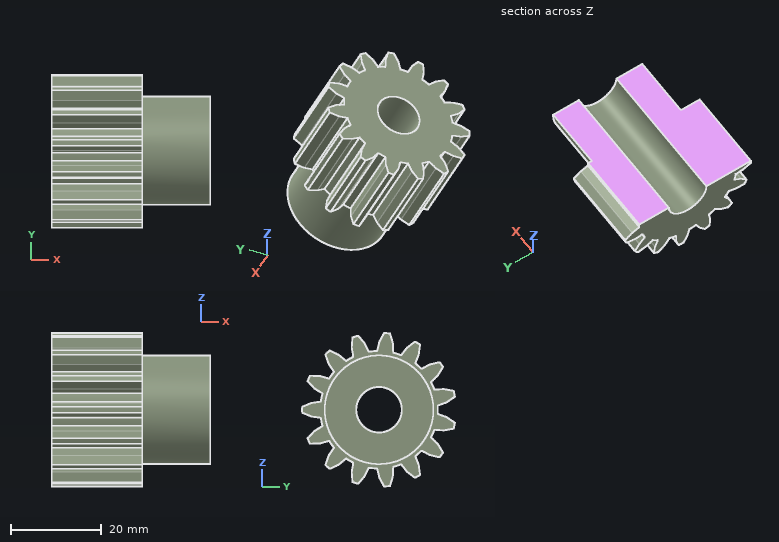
import cadquery as cq
import math

MODULE = 2.0
TOOTH_COUNT = 15
FACE_WIDTH = 20.0
PITCH_RADIUS = MODULE * TOOTH_COUNT / 2
TIP_RADIUS = PITCH_RADIUS + MODULE
ROOT_RADIUS = PITCH_RADIUS - MODULE
TOOTH_SPACING = 360.0 / TOOTH_COUNT

ROOT_HALF_ANGLE = TOOTH_SPACING / 3
PITCH_HALF_ANGLE = 5.82
TIP_HALF_ANGLE = 2.25

FIRST_TOOTH_ANGLE = 180.0

HUB_RADIUS = 12.0
HUB_LENGTH = 15.0
BORE_RADIUS = 5.0
TOTAL_LENGTH = FACE_WIDTH + HUB_LENGTH


def polar(radius, angle):
    """Point in the YZ plane at a radius and an angle in degrees from +Y."""
    radians = math.radians(angle)
    return (radius * math.cos(radians), radius * math.sin(radians))


def toothed_blank():
    """Gear body: two-facet flanks, with tips and root lands on circles."""
    outline = cq.Workplane("YZ").moveTo(*polar(ROOT_RADIUS, FIRST_TOOTH_ANGLE - ROOT_HALF_ANGLE))
    for tooth in range(TOOTH_COUNT):
        center = FIRST_TOOTH_ANGLE + tooth * TOOTH_SPACING
        land_middle = center + TOOTH_SPACING / 2
        next_tooth_start = center + TOOTH_SPACING - ROOT_HALF_ANGLE
        outline = (
            outline.lineTo(*polar(PITCH_RADIUS, center - PITCH_HALF_ANGLE))
            .lineTo(*polar(TIP_RADIUS, center - TIP_HALF_ANGLE))
            .threePointArc(polar(TIP_RADIUS, center), polar(TIP_RADIUS, center + TIP_HALF_ANGLE))
            .lineTo(*polar(PITCH_RADIUS, center + PITCH_HALF_ANGLE))
            .lineTo(*polar(ROOT_RADIUS, center + ROOT_HALF_ANGLE))
            .threePointArc(polar(ROOT_RADIUS, land_middle), polar(ROOT_RADIUS, next_tooth_start))
        )
    return outline.close().extrude(FACE_WIDTH)


def hub():
    """Plain cylinder on the +X face of the gear."""
    return cq.Workplane("YZ", origin=(FACE_WIDTH, 0, 0)).circle(HUB_RADIUS).extrude(HUB_LENGTH)


def bore():
    """Shaft hole through the gear and the hub."""
    return cq.Workplane("YZ").circle(BORE_RADIUS).extrude(TOTAL_LENGTH)


result = toothed_blank().union(hub()).cut(bore())